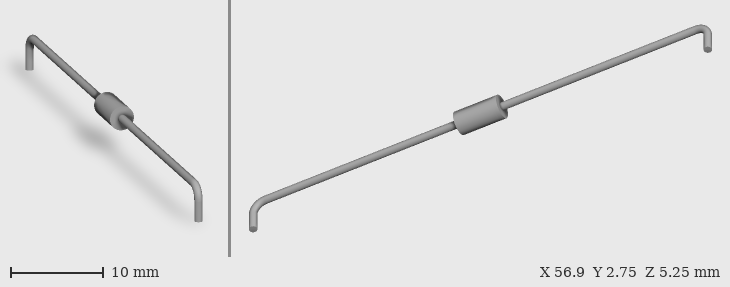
import cadquery as cq

span = 56.85
height = 5.25

body_diameter = 2.75
body_length = 5.3
band_offset = 0.5
band_width = 0.2
band_depth = 0.1

lead_diameter = 0.9
bend_radius = 1.55

body_end = body_length / 2
band_start = -body_end + band_offset
lead_tip_x = (span - lead_diameter) / 2
lead_tip_z = body_diameter / 2 - height


def cylinder_along_x(start, length, diameter):
    return cq.Workplane("YZ", origin=(start, 0, 0)).circle(diameter / 2).extrude(length)


def make_band():
    """Ring that fills the groove in the body, flush with its surface."""
    outside = cylinder_along_x(band_start, band_width, body_diameter)
    inside = cylinder_along_x(band_start, band_width, body_diameter - 2 * band_depth)
    return outside.cut(inside)


def make_body(band):
    """Plain cylinder with a groove that holds the marking band."""
    return cylinder_along_x(-body_end, body_length, body_diameter).cut(band)


def make_lead(side):
    """Round wire from a body end face, bent down at its far end; side is -1 or 1."""
    bend_start = (side * (lead_tip_x - bend_radius), 0)
    bend_end = (side * lead_tip_x, -bend_radius)
    centreline = (
        cq.Workplane("XZ")
        .moveTo(side * body_end, 0)
        .lineTo(*bend_start)
        .tangentArcPoint(bend_end, relative=False)
        .lineTo(side * lead_tip_x, lead_tip_z)
    )
    section = cq.Workplane("YZ", origin=(side * body_end, 0, 0)).circle(lead_diameter / 2)
    return section.sweep(centreline)


band = make_band()
body = make_body(band)
leads = [make_lead(side) for side in (-1, 1)]

result = cq.Compound.makeCompound([body.val(), band.val(), *[lead.val() for lead in leads]])